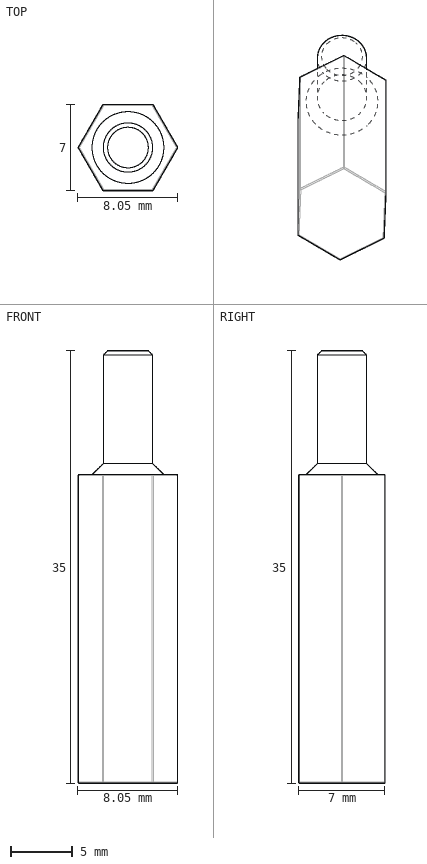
import cadquery as cq
import math

total_height = 35.0
stud_length = 10.0
body_height = total_height - stud_length

across_flats = 7.0
across_corners = across_flats / math.cos(math.radians(30))
edge_radius = 0.1

stud_radius = 2.0
tip_chamfer = 0.35
collar_height = 0.88
collar_base_radius = 2.9


def make_body():
    """Hexagonal prism with every edge slightly rounded."""
    prism = cq.Workplane("XY").polygon(6, across_corners).extrude(body_height)
    return prism.edges().fillet(edge_radius)


def make_stud():
    """Revolved stud with a conical collar at its root and a chamfered tip."""
    profile = [
        (0, body_height),
        (collar_base_radius, body_height),
        (stud_radius, body_height + collar_height),
        (stud_radius, total_height - tip_chamfer),
        (stud_radius - tip_chamfer, total_height),
        (0, total_height),
    ]
    return cq.Workplane("XZ").polyline(profile).close().revolve(360, (0, 0), (0, 1))


result = make_body().union(make_stud())